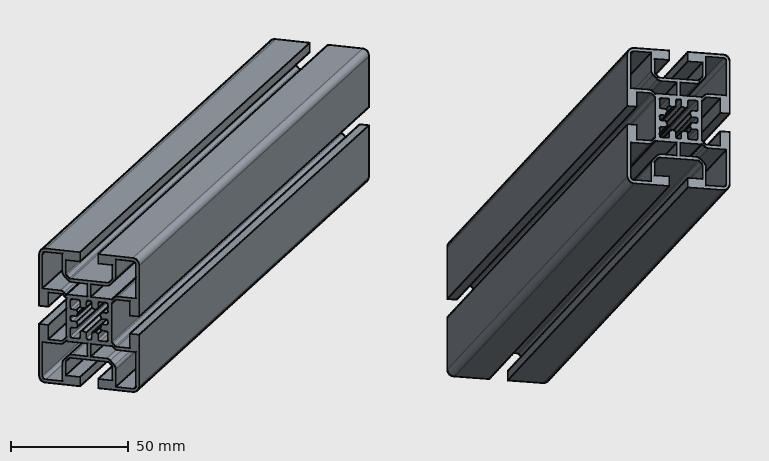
import cadquery as cq
import math

WIDTH = 45.0
HEIGHT = 60.0
LENGTH = 300.0

WALL = 1.5
CORNER_RADIUS = 3.0

SLOT_OPENING = 8.0
SLOT_DEPTH = 12.3
LIP_THICKNESS = 4.2
CHANNEL_WIDTH = 21.0
CHANNEL_OUTER_CHAMFER = 3.3
CHANNEL_INNER_CHAMFER = 1.8
CHANNEL_OUTER_BLEND = 2.5
CHANNEL_INNER_BLEND = CHANNEL_OUTER_BLEND - WALL

SLOTS = [
    (0, HEIGHT / 2),
    (90, WIDTH / 2),
    (180, HEIGHT / 2),
    (270, WIDTH / 2),
]

CORE_WIDTH = WIDTH - 2 * SLOT_DEPTH
CORE_HEIGHT = CHANNEL_WIDTH
CORE_WALL = 1.8
CORE_FILLET = 1.0

BORE_RADIUS = 5.7
RIB_INNER_SIDE = 1.2
RIB_WIDTH = 2.85
RIB_OUTER_SIDE = RIB_INNER_SIDE + RIB_WIDTH
RIB_OUTER_SIDE_END = 5.7
RIB_TIP = 3.0


def extruded(section):
    """Extrude a section drawn in XZ along the full length, centred on Y."""
    return section.extrude(LENGTH / 2, both=True)


def block(width, bottom, top):
    """Full-length block centred on X between two heights."""
    section = cq.Workplane("XZ").center(0, (bottom + top) / 2).rect(width, top - bottom)
    return extruded(section)


def rounded_bar(inset):
    bar = block(WIDTH - 2 * inset, -HEIGHT / 2 + inset, HEIGHT / 2 - inset)
    return bar.edges("|Y").fillet(CORNER_RADIUS - inset)


def slot_housing(face):
    """Solid envelope of a T-slot that opens upward at the height of the given face."""
    bottom = face - SLOT_DEPTH - WALL
    housing = block(CHANNEL_WIDTH + 2 * WALL, bottom, face)
    housing = housing.edges("|Y and <Z").chamfer(CHANNEL_OUTER_CHAMFER)
    return housing.edges("|Y and (not >Z)").fillet(CHANNEL_OUTER_BLEND)


def slot(face):
    """Hollow of a T-slot that opens upward at the height of the given face."""
    floor = face - SLOT_DEPTH
    channel = block(CHANNEL_WIDTH, floor, face - LIP_THICKNESS)
    channel = channel.edges("|Y and <Z").chamfer(CHANNEL_INNER_CHAMFER)
    channel = channel.edges("|Y and (not >Z)").fillet(CHANNEL_INNER_BLEND)
    return channel.union(block(SLOT_OPENING, floor, face))


def turned(body, angle):
    """Turn about the long axis."""
    return body.rotate((0, 0, 0), (0, 1, 0), angle)


def screw_rib():
    """Rib hanging from the upper wall of the core, with a bevelled tip on the bore."""
    root = CORE_HEIGHT / 2
    tip_height = math.sqrt(BORE_RADIUS**2 - RIB_TIP**2)
    inner_height = math.sqrt(BORE_RADIUS**2 - RIB_INNER_SIDE**2)
    middle = (math.asin(RIB_TIP / BORE_RADIUS) + math.asin(RIB_INNER_SIDE / BORE_RADIUS)) / 2
    section = (
        cq.Workplane("XZ")
        .moveTo(RIB_INNER_SIDE, root)
        .lineTo(RIB_OUTER_SIDE, root)
        .lineTo(RIB_OUTER_SIDE, RIB_OUTER_SIDE_END)
        .lineTo(RIB_TIP, tip_height)
        .threePointArc(
            (BORE_RADIUS * math.sin(middle), BORE_RADIUS * math.cos(middle)),
            (RIB_INNER_SIDE, inner_height),
        )
        .close()
    )
    return extruded(section)


def core_cavity():
    """Hollow of the core around the screw ribs, rounded along the core walls."""
    top = CORE_HEIGHT / 2 - CORE_WALL
    cavity = block(CORE_WIDTH - 2 * CORE_WALL, -top, top)
    rib = screw_rib()
    rib_pair = rib.union(rib.mirror("YZ"))
    for angle in (0, 90, 180, 270):
        cavity = cavity.cut(turned(rib_pair, angle))
    wall_edges = cavity.faces("<X or >X or <Z or >Z").edges("|Y")
    return wall_edges.fillet(CORE_FILLET)


result = rounded_bar(0).cut(rounded_bar(WALL))
result = result.union(block(WALL, -HEIGHT / 2 + SLOT_DEPTH, HEIGHT / 2 - SLOT_DEPTH))

for angle, face in SLOTS:
    result = result.union(turned(slot_housing(face), angle))
result = result.union(block(CORE_WIDTH, -CORE_HEIGHT / 2, CORE_HEIGHT / 2))

for angle, face in SLOTS:
    result = result.cut(turned(slot(face), angle))
result = result.cut(core_cavity())